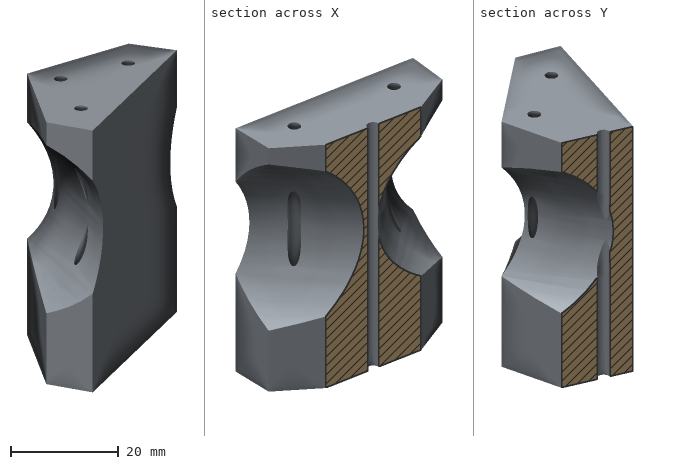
import cadquery as cq
import math

DEPTH = 21.59
WIDTH = 41.66
HEIGHT = 52.83
SHOULDER_X = 12.1
SHOULDER_WIDTH = 40.8

HOLE_DIAMETER = 2.54
NOSE_HOLE_X = 6.7
SIDE_HOLE_X = 15.55
SIDE_HOLE_Y = 11.7

GROOVE_Z = 31.27
FRONT_GROOVE_RADIUS = 19.4
FRONT_GROOVE_ANGLE = 45.5
FRONT_GROOVE_REACH = 3.95
BACK_GROOVE_RADIUS = 23.0
BACK_GROOVE_ANGLE = -44.2
BACK_GROOVE_REACH = 3.2
GROOVE_LENGTH = 4 * WIDTH


def make_body():
    """Prism with a pointed nose, nearly parallel sides and a flat back at +X."""
    half_width = WIDTH / 2
    half_shoulder = SHOULDER_WIDTH / 2
    outline = [
        (0, 0),
        (SHOULDER_X, -half_shoulder),
        (DEPTH, -half_width),
        (DEPTH, half_width),
        (SHOULDER_X, half_shoulder),
    ]
    return cq.Workplane("XY").polyline(outline).close().extrude(HEIGHT)


def make_holes():
    """One hole behind the nose and one near each side, over the full height."""
    centers = [
        (NOSE_HOLE_X, 0),
        (SIDE_HOLE_X, -SIDE_HOLE_Y),
        (SIDE_HOLE_X, SIDE_HOLE_Y),
    ]
    return cq.Workplane("XY").pushPoints(centers).circle(HOLE_DIAMETER / 2).extrude(HEIGHT)


def make_groove(radius, inward_angle, reach):
    """Cylinder with a horizontal axis, square to the inward direction."""
    angle = math.radians(inward_angle)
    axis_distance = reach - radius
    axis_plane = cq.Plane(
        origin=(axis_distance * math.cos(angle), axis_distance * math.sin(angle), GROOVE_Z),
        xDir=(0, 0, 1),
        normal=(-math.sin(angle), math.cos(angle), 0),
    )
    return cq.Workplane(axis_plane).circle(radius).extrude(GROOVE_LENGTH / 2, both=True)


front_groove = make_groove(FRONT_GROOVE_RADIUS, FRONT_GROOVE_ANGLE, FRONT_GROOVE_REACH)
back_groove = make_groove(BACK_GROOVE_RADIUS, BACK_GROOVE_ANGLE, BACK_GROOVE_REACH)

result = make_body().cut(make_holes()).cut(front_groove).cut(back_groove)